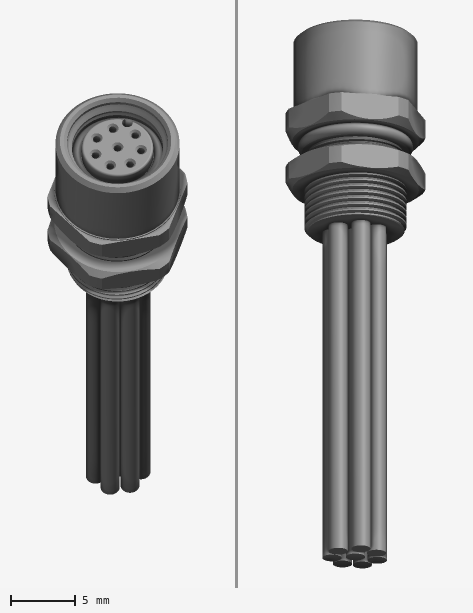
import cadquery as cq
import math

total_length = 43.2

shell_radius = 4.85
rim_radius = 4.5
rim_bevel_height = 0.3
shell_length = 6.4
collar_radius = 4.95
collar_height = 0.1
mouth_radius = 4.2
wall_radius = 3.95
cone_top_depth = 0.52
throat_radius = 3.57
lip_bottom_depth = 1.08
groove_depth = 0.35

insert_radius = 2.8
insert_edge_fillet = 0.18
insert_depth = 0.8
ring_inner_radius = 2.85
ring_center_depth = 1.9
key_slot_radius = 0.42
key_slot_center = 2.47
key_slot_depth = ring_center_depth - insert_depth

outer_contacts = 7
contact_pitch_angle = 50
contact_circle_radius = 1.85
opposite_key_angle = -90
contact_mouth_radius = 0.46
contact_bore_radius = 0.3
contact_mouth_depth = 0.16
contact_bore_depth = 2.0
contact_tip_angle = 30

across_flats = 10.0
across_corners = 11.0
hex_half_sector = 30
hex_face_radius = 4.95
body_hex_bottom_angle = 45
body_hex_top_angle = 0
nut_chamfer_angle = 30
body_hex_bottom = -8.5
nut_top = -10.55
nut_height = 2.0

seal_edge_radius = 4.2
seal_radius = 4.5
seal_bottom = -9.45

thread_radius = 4.0
thread_pitch = 0.5
thread_depth = 0.28
thread_crest = 0.12
thread_root = 0.42
thread_overlap = 0.03
thread_top = -9.6
thread_bottom = -16.0
thread_end_chamfer = 0.25
thread_crest_level = -13.3

wire_radius = 0.75
wire_embedding = 0.5


def contact_points():
    """Contact and wire centres in the XY plane."""
    points = [(0, 0)]
    for i in range(outer_contacts):
        steps = i - (outer_contacts - 1) / 2
        angle = math.radians(opposite_key_angle + steps * contact_pitch_angle)
        x = contact_circle_radius * math.cos(angle)
        y = contact_circle_radius * math.sin(angle)
        points.append((x, y))
    return points


def cylinder(radius, bottom, top):
    """Upright cylinder on the Z axis between two levels."""
    return cq.Workplane("XY").workplane(offset=bottom).circle(radius).extrude(top - bottom)


def revolved(profile):
    """Close a (radius, z) profile and turn it about the Z axis."""
    return profile.close().revolve(360, (0, 0, 0), (0, 1, 0))


def hexagon(bottom, top, bottom_angle, top_angle):
    """Hexagon with flats facing X, rounded corners and conical face chamfers (0 leaves a face square)."""
    corner_radius = across_corners / 2
    chamfer_width = corner_radius - hex_face_radius
    bottom_rise = chamfer_width * math.tan(math.radians(bottom_angle))
    top_drop = chamfer_width * math.tan(math.radians(top_angle))
    envelope = (
        cq.Workplane("XZ")
        .moveTo(0, bottom)
        .lineTo(hex_face_radius, bottom)
        .lineTo(corner_radius, bottom + bottom_rise)
        .lineTo(corner_radius, top - top_drop)
        .lineTo(hex_face_radius, top)
        .lineTo(0, top)
    )
    envelope = revolved(envelope)
    sharp_diameter = across_flats / math.cos(math.radians(hex_half_sector))
    prism = cq.Workplane("XY").workplane(offset=bottom).transformed(rotate=(0, 0, hex_half_sector))
    return prism.polygon(6, sharp_diameter).extrude(top - bottom).intersect(envelope)


def shell():
    """Bevelled sleeve with a conical mouth, undercut groove, sealing ring and raised insert."""
    body = (
        cq.Workplane("XZ")
        .moveTo(0, body_hex_bottom)
        .lineTo(collar_radius, body_hex_bottom)
        .lineTo(collar_radius, collar_height - shell_length)
        .lineTo(shell_radius, collar_height - shell_length)
        .lineTo(shell_radius, -rim_bevel_height)
        .lineTo(rim_radius, 0)
        .lineTo(0, 0)
    )
    mouth_bevel = mouth_radius - wall_radius
    cone_bottom_depth = cone_top_depth + wall_radius - throat_radius
    ring_section_radius = (throat_radius - ring_inner_radius) / 2
    ring_radius = throat_radius - ring_section_radius
    cavity = (
        cq.Workplane("XZ")
        .moveTo(0, 0)
        .lineTo(mouth_radius, 0)
        .lineTo(wall_radius, -mouth_bevel)
        .lineTo(wall_radius, -cone_top_depth)
        .lineTo(throat_radius, -cone_bottom_depth)
        .lineTo(throat_radius, -lip_bottom_depth)
        .lineTo(throat_radius + groove_depth, -lip_bottom_depth)
        .lineTo(throat_radius, -lip_bottom_depth - groove_depth)
        .lineTo(throat_radius, -ring_center_depth)
        .threePointArc(
            (ring_radius, -ring_center_depth + ring_section_radius),
            (ring_inner_radius, -ring_center_depth),
        )
        .lineTo(0, -ring_center_depth)
    )
    insert = cylinder(insert_radius, body_hex_bottom, -insert_depth)
    insert = insert.faces(">Z").edges().fillet(insert_edge_fillet)
    return revolved(body).cut(revolved(cavity)).union(insert)


def contact_holes():
    """Countersunk blind bores with conical tips."""
    countersink_bottom = -insert_depth - contact_mouth_depth
    bore_bottom = -insert_depth - contact_bore_depth
    tip_depth = contact_bore_radius * math.tan(math.radians(contact_tip_angle))
    hole = (
        cq.Workplane("XZ")
        .moveTo(0, -insert_depth)
        .lineTo(contact_mouth_radius, -insert_depth)
        .lineTo(contact_bore_radius, countersink_bottom)
        .lineTo(contact_bore_radius, bore_bottom)
        .lineTo(0, bore_bottom - tip_depth)
    )
    hole = revolved(hole).val()
    holes = cq.Workplane("XY")
    for x, y in contact_points():
        holes = holes.add(hole.translate(cq.Vector(x, y, 0)))
    return holes.combine()


def key_slot():
    """Round-nosed slot in the +Y side of the insert."""
    floor = -insert_depth - key_slot_depth
    nose = cylinder(key_slot_radius, floor, 0).translate((0, key_slot_center, 0))
    return nose.intersect(cylinder(insert_radius, floor, 0))


def seal():
    """Disc with a bulging round edge under the body hexagon."""
    middle = (body_hex_bottom + seal_bottom) / 2
    profile = (
        cq.Workplane("XZ")
        .moveTo(0, body_hex_bottom)
        .lineTo(seal_edge_radius, body_hex_bottom)
        .threePointArc((seal_radius, middle), (seal_edge_radius, seal_bottom))
        .lineTo(0, seal_bottom)
    )
    return revolved(profile)


def thread():
    """Right-hand external thread on a plain core."""
    core_radius = thread_radius - thread_depth
    core = cylinder(core_radius, thread_bottom, seal_bottom)
    turns_below = math.ceil((thread_crest_level - thread_bottom) / thread_pitch) + 1
    start = thread_crest_level - turns_below * thread_pitch
    turns = math.ceil((thread_top - start) / thread_pitch) + 1
    helix = cq.Wire.makeHelix(thread_pitch, turns * thread_pitch, core_radius)
    helix = helix.translate(cq.Vector(0, 0, start))
    ridge = (
        cq.Workplane("XZ")
        .moveTo(core_radius - thread_overlap, start - thread_root / 2)
        .lineTo(thread_radius, start - thread_crest / 2)
        .lineTo(thread_radius, start + thread_crest / 2)
        .lineTo(core_radius - thread_overlap, start + thread_root / 2)
        .close()
        .sweep(cq.Workplane(helix), isFrenet=True)
    )
    envelope = cylinder(thread_radius + thread_overlap, thread_bottom, thread_top)
    envelope = envelope.edges().chamfer(thread_end_chamfer + thread_overlap)
    return core.union(ridge.intersect(envelope))


def wires():
    """Straight leads, one below each contact."""
    length = total_length + thread_bottom + wire_embedding
    base = cq.Workplane("XY").workplane(offset=-total_length)
    return base.pushPoints(contact_points()).circle(wire_radius).extrude(length)


result = shell().cut(contact_holes()).cut(key_slot())
result = result.union(hexagon(body_hex_bottom, -shell_length, body_hex_bottom_angle, body_hex_top_angle))
result = result.union(seal())
result = result.union(thread())
result = result.union(hexagon(nut_top - nut_height, nut_top, nut_chamfer_angle, nut_chamfer_angle))
result = result.union(wires())